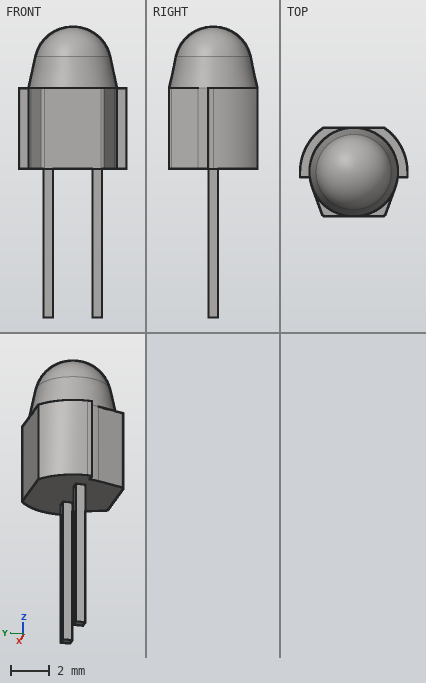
import cadquery as cq
import math

body_radius = 2.303
body_bottom = 7.72
body_top = 11.9
body_height = body_top - body_bottom
side_taper = 20.0
front_corner_radius = 0.2

wing_radius = 2.8
wing_front_y = -0.27
wing_edge_radius = 0.05

total_height = 15.1
dome_radius = 2.0
dome_seam_z = 13.55

lead_width = 0.5
lead_pitch = 2.54
lead_embed = 0.3


def make_core():
    """Body core: round sides running tangentially into tapers toward a flat front."""
    taper = math.radians(side_taper)
    tangent_x = body_radius * math.cos(taper)
    tangent_y = -body_radius * math.sin(taper)
    front_x = (body_radius - body_radius * math.sin(taper)) / math.cos(taper)
    core = (
        cq.Workplane("XY", origin=(0, 0, body_bottom))
        .moveTo(-front_x, -body_radius)
        .lineTo(front_x, -body_radius)
        .lineTo(tangent_x, tangent_y)
        .threePointArc((0, body_radius), (-tangent_x, tangent_y))
        .close()
        .extrude(body_height)
    )
    return core.edges("|Z and <Y").fillet(front_corner_radius)


def make_wings():
    """Wider round rear half, cut flat at the back, with short straight sides."""
    back_x = math.sqrt(wing_radius**2 - body_radius**2)
    arc_middle = math.asin(body_radius / wing_radius) / 2
    middle_x = wing_radius * math.cos(arc_middle)
    middle_y = wing_radius * math.sin(arc_middle)
    wings = (
        cq.Workplane("XY", origin=(0, 0, body_bottom))
        .moveTo(-wing_radius, wing_front_y)
        .lineTo(wing_radius, wing_front_y)
        .lineTo(wing_radius, 0)
        .threePointArc((middle_x, middle_y), (back_x, body_radius))
        .lineTo(-back_x, body_radius)
        .threePointArc((-middle_x, middle_y), (-wing_radius, 0))
        .close()
        .extrude(body_height)
    )
    return wings.edges("|Z and <Y").fillet(wing_edge_radius)


def make_lens():
    """Tapered lens base topped by a spherical cap."""
    dome_center_z = total_height - dome_radius
    seam_radius = math.sqrt(dome_radius**2 - (dome_seam_z - dome_center_z) ** 2)
    diagonal = dome_radius / math.sqrt(2)
    return (
        cq.Workplane("XZ")
        .moveTo(0, body_top)
        .lineTo(body_radius, body_top)
        .lineTo(seam_radius, dome_seam_z)
        .threePointArc((diagonal, dome_center_z + diagonal), (0, total_height))
        .close()
        .revolve(360, (0, 0), (0, 1))
    )


def make_leads():
    """Two square leads reaching from Z = 0 into the body."""
    return (
        cq.Workplane("XY")
        .pushPoints([(-lead_pitch / 2, 0), (lead_pitch / 2, 0)])
        .rect(lead_width, lead_width)
        .extrude(body_bottom + lead_embed)
    )


result = make_core().union(make_wings()).union(make_lens()).union(make_leads())